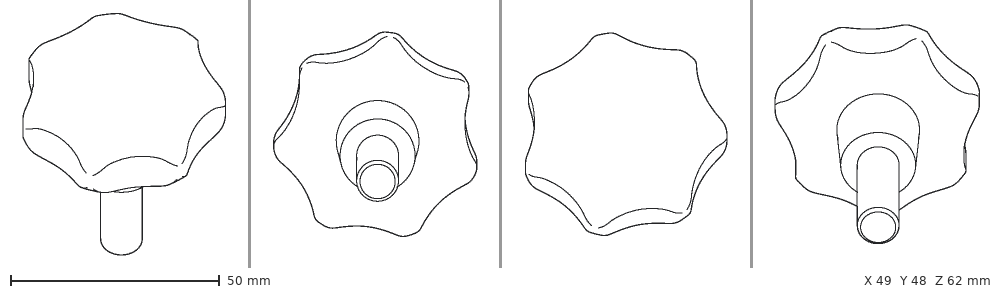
import cadquery as cq
import math

total_height = 62.0
head_bottom = 47.0
hub_bottom = 30.0

stem_radius = 5.0
stem_chamfer = 0.8
hub_bottom_radius = 9.0
hub_top_radius = 9.9

lobe_count = 7
head_radius = 25.05
dome_edge_radius = 22.3
dome_edge_height = 58.4
shoulder_end_height = 54.8
bottom_fillet = 3.95

valley_radius = 21.15
lobe_tip_radius = 3.95


def polar(radius, angle):
    return (radius * math.cos(angle), radius * math.sin(angle))


def head_blank():
    """Round head: domed top, rounded shoulder and rounded bottom edge."""
    dome_rise = total_height - dome_edge_height
    dome_radius = (dome_edge_radius**2 + dome_rise**2) / (2 * dome_rise)
    dome_mid_x = dome_edge_radius / 2
    dome_mid_z = total_height - dome_radius + math.sqrt(dome_radius**2 - dome_mid_x**2)
    return (
        cq.Workplane("XZ")
        .moveTo(0, head_bottom)
        .lineTo(head_radius - bottom_fillet, head_bottom)
        .tangentArcPoint((head_radius, head_bottom + bottom_fillet), relative=False)
        .lineTo(head_radius, shoulder_end_height)
        .tangentArcPoint((dome_edge_radius, dome_edge_height), relative=False)
        .threePointArc((dome_mid_x, dome_mid_z), (0, total_height))
        .close()
        .revolve(360, (0, 0), (0, 1))
    )


def lobed_prism():
    """Prism of convex lobe tips joined by tangent concave valleys."""
    half_pitch = math.pi / lobe_count
    lobe_center = head_radius - lobe_tip_radius
    cos_half = math.cos(half_pitch)
    scallop_radius = (
        valley_radius**2 + lobe_center**2 - 2 * valley_radius * lobe_center * cos_half - lobe_tip_radius**2
    ) / (2 * (lobe_tip_radius - valley_radius + lobe_center * cos_half))
    scallop_center = valley_radius + scallop_radius
    share = lobe_tip_radius / (lobe_tip_radius + scallop_radius)
    scallop_x, scallop_y = polar(scallop_center, half_pitch)
    tangent_x = lobe_center + share * (scallop_x - lobe_center)
    tangent_y = share * scallop_y
    tangent_radius = math.hypot(tangent_x, tangent_y)
    tangent_angle = math.atan2(tangent_y, tangent_x)

    first_lobe = -math.pi / 2
    start = polar(tangent_radius, first_lobe - tangent_angle)
    outline = cq.Workplane("XY").workplane(offset=head_bottom).moveTo(*start)
    for index in range(lobe_count):
        lobe = first_lobe + 2 * half_pitch * index
        next_lobe = lobe + 2 * half_pitch
        outline = outline.threePointArc(polar(head_radius, lobe), polar(tangent_radius, lobe + tangent_angle))
        outline = outline.threePointArc(
            polar(valley_radius, lobe + half_pitch), polar(tangent_radius, next_lobe - tangent_angle)
        )
    return outline.close().extrude(total_height - head_bottom)


def hub_and_stem():
    """Tapered hub under the head and the chamfered stem below it."""
    return (
        cq.Workplane("XZ")
        .moveTo(0, 0)
        .lineTo(stem_radius - stem_chamfer, 0)
        .lineTo(stem_radius, stem_chamfer)
        .lineTo(stem_radius, hub_bottom)
        .lineTo(hub_bottom_radius, hub_bottom)
        .lineTo(hub_top_radius, head_bottom)
        .lineTo(0, head_bottom)
        .close()
        .revolve(360, (0, 0), (0, 1))
    )


head = head_blank().intersect(lobed_prism())
result = head.union(hub_and_stem())